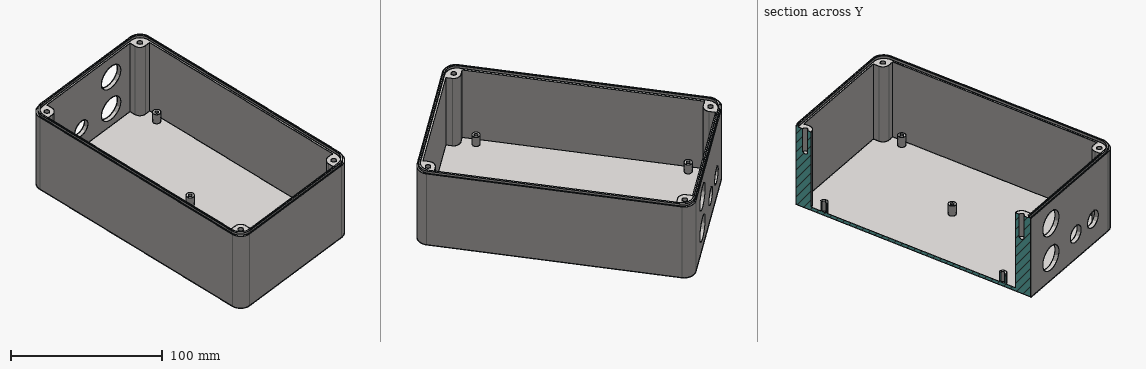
import cadquery as cq

length = 187.4
width = 106.5
height = 66.0
corner_radius = 8.0
wall = 3.2
floor_thickness = 3.0

lip_height = 1.9
lip_inset = 0.7
lip_corner_radius = 8.6
groove_inset = 1.9
groove_depth = 2.0
groove_corner_radius = 8.0
ledge_z = height - groove_depth

post_inset = 7.5
post_radius = 4.9
post_hole_diameter = 3.5
post_hole_depth = 18.7
drill_point_depth = 1.1

standoff_diameter = 5.5
standoff_hole_diameter = 2.5
standoff_height = 8.0
standoff_x = 71.2
standoff_y = 45.7

large_entry_diameter = 19.0
small_entry_diameter = 12.7
large_entry_y = 22.3
small_entry_z = 20.0
cable_entries = [
    (large_entry_y, 46.1, large_entry_diameter),
    (large_entry_y, 18.0, large_entry_diameter),
    (-7.0, small_entry_z, small_entry_diameter),
    (-27.2, small_entry_z, small_entry_diameter),
]


def block(inset, bottom, top):
    """Centred block, inset on all four sides from the outer walls."""
    return (
        cq.Workplane("XY", origin=(0, 0, bottom))
        .rect(length - 2 * inset, width - 2 * inset)
        .extrude(top - bottom)
    )


def rounded_block(inset, radius, bottom, top):
    """Inset block with rounded vertical edges."""
    return block(inset, bottom, top).edges("|Z").fillet(radius)


def cylinder(x, y, diameter, bottom, top):
    """Vertical cylinder between two heights."""
    return cq.Workplane("XY", origin=(x, y, bottom)).circle(diameter / 2).extrude(top - bottom)


def make_post(x_side, y_side):
    """Corner block with a rounded inner edge concentric with its screw hole."""
    post_size = post_inset + post_radius
    center_x = x_side * (length - post_size) / 2
    center_y = y_side * (width - post_size) / 2
    inner_edge = ("<" if x_side > 0 else ">") + "X"
    inner_corner = ("<" if y_side > 0 else ">") + "Y"
    return (
        cq.Workplane("XY")
        .center(center_x, center_y)
        .rect(post_size, post_size)
        .extrude(ledge_z)
        .edges("|Z").edges(inner_edge).edges(inner_corner)
        .fillet(post_radius)
    )


def make_post_hole(x, y):
    """Blind screw hole with a conical drill point."""
    bottom = ledge_z - post_hole_depth
    radius = post_hole_diameter / 2
    return (
        cq.Workplane("XZ", origin=(x, y, 0))
        .moveTo(0, bottom - drill_point_depth)
        .lineTo(radius, bottom)
        .lineTo(radius, ledge_z)
        .lineTo(0, ledge_z)
        .close()
        .revolve(360, (0, 0, 0), (0, 1, 0))
    )


corners = [(x_side, y_side) for x_side in (-1, 1) for y_side in (-1, 1)]

outer = rounded_block(0, corner_radius, 0, height - lip_height)
lip = rounded_block(lip_inset, lip_corner_radius, height - lip_height, height)
outer = outer.union(lip)

cavity = block(wall, floor_thickness, ledge_z)
for x_side, y_side in corners:
    cavity = cavity.cut(make_post(x_side, y_side))
groove = rounded_block(groove_inset, groove_corner_radius, ledge_z, height)
result = outer.cut(cavity).cut(groove)

for x_side, y_side in corners:
    hole_x = x_side * (length / 2 - post_inset)
    hole_y = y_side * (width / 2 - post_inset)
    result = result.cut(make_post_hole(hole_x, hole_y))

standoff_places = [(x_side * standoff_x, y_side * standoff_y) for x_side, y_side in corners]
standoff_places.append((0, 0))
standoff_top = floor_thickness + standoff_height
for x, y in standoff_places:
    result = result.union(cylinder(x, y, standoff_diameter, 0, standoff_top))
    result = result.cut(cylinder(x, y, standoff_hole_diameter, floor_thickness, standoff_top))

for y, z, diameter in cable_entries:
    entry = cq.Workplane("YZ", origin=(-length / 2, y, z)).circle(diameter / 2).extrude(wall)
    result = result.cut(entry)